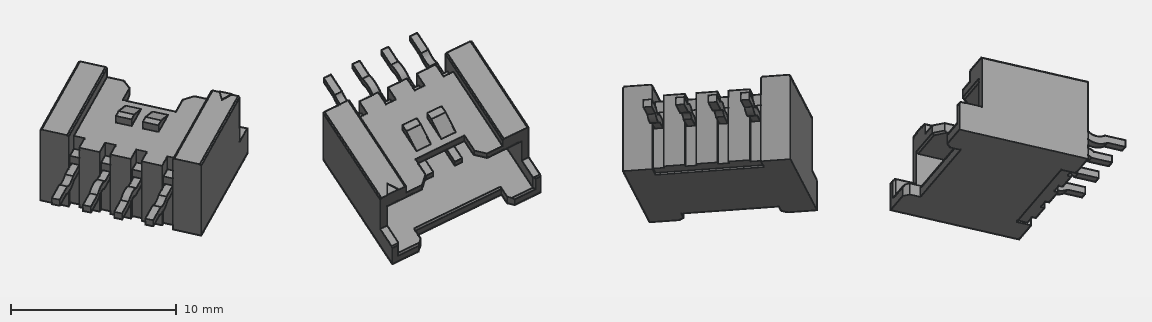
import cadquery as cq


pin_count = 4
pin_pitch = 2.0
pin_width = 0.51
pin_height = 0.47
pin_axis_z = 2.95
pin_tail = 3.32
pin_contact_end = 5.72
kink_y = -1.42
kink_outer_length = 1.42
kink_outer_rise = 0.21
kink_inner_length = 1.06
kink_inner_rise = 0.18
pin_xs = [pin_pitch * (i - (pin_count - 1) / 2) for i in range(pin_count)]

width = 10.3
overall_length = 11.8
length = overall_length - pin_tail
deck_top = 4.74
upper_length = 7.0
low_wall_top = 1.97
edge_chamfer = 0.1
lead_in = 0.12

slot_width = 0.68
slot_lower_depth = 0.25
slot_upper_depth = 0.97
slot_step_z = 3.74

overall_height = 5.55
rail_top = 5.5
rail_inner_x = pin_xs[-1] + slot_width / 2
rail_width = width / 2 - rail_inner_x

side_wall = 0.48
deck_thickness = 0.65
base_thickness = 1.5
underside_recess = 0.13
floor_top = underside_recess + deck_thickness
cavity_width = width - 2 * side_wall
ceiling_z = deck_top - deck_thickness

deck_notch_half_width = 1.7
deck_notch_end = 5.22
deck_notch_corner = 0.55
floor_notch_half_width = 3.0
floor_notch_end = 7.46
floor_notch_corner = 0.33

ramp_width = 1.0
ramp_gap = 0.72
ramp_front = 3.01
ramp_flat_end = 3.5
ramp_end = 4.75
ramp_height = 0.52

mark_x = 4.26
mark_width = 0.8
mark_length = 0.7
mark_height = overall_height - rail_top


def block(x_min, x_max, y_min, y_max, z_min, z_max):
    size = (x_max - x_min, y_max - y_min, z_max - z_min)
    return cq.Workplane("XY").box(*size, centered=False).translate((x_min, y_min, z_min))


def centered_block(block_width, y_min, y_max, z_min, z_max):
    return block(-block_width / 2, block_width / 2, y_min, y_max, z_min, z_max)


def rail(side):
    middle_x = side * (rail_inner_x + rail_width / 2)
    bar = centered_block(rail_width, 0, upper_length, 0, rail_top)
    return bar.edges("|Y and >Z").chamfer(edge_chamfer).translate((middle_x, 0, 0))


def notch(half_width, y_end, y_mouth, corner, z_min, z_max):
    """Straight-sided notch open towards +Y, widened by 45 degree corners at its mouth."""
    outline = [
        (-half_width, y_end),
        (half_width, y_end),
        (half_width, y_mouth - corner),
        (half_width + corner, y_mouth),
        (-half_width - corner, y_mouth),
        (-half_width, y_mouth - corner),
    ]
    return cq.Workplane("XY").workplane(offset=z_min).polyline(outline).close().extrude(z_max - z_min)


def edges_between(low, high):
    """Selector for edges whose centres lie inside the box from low to high."""
    return cq.selectors.BoxSelector(low, high)


def hollow_housing():
    body = centered_block(width, 0, upper_length, 0, deck_top)
    low_walls = centered_block(width, 0, length, 0, low_wall_top)
    low_walls = low_walls.edges(">Y and >Z").chamfer(edge_chamfer)
    body = body.union(low_walls).union(rail(-1)).union(rail(1))

    body = body.cut(centered_block(cavity_width, base_thickness, length, floor_top, ceiling_z))
    body = body.cut(notch(deck_notch_half_width, deck_notch_end, upper_length, deck_notch_corner,
                          ceiling_z, deck_top))
    body = body.cut(notch(floor_notch_half_width, floor_notch_end, length, floor_notch_corner,
                          0, floor_top))
    return chamfer_mouth(body)


def chamfer_mouth(body):
    """Lead-in chamfers on the floor, side wall and ceiling edges that face the mating side."""
    margin = 0.01
    cavity_half = cavity_width / 2
    end_edges = edges_between(
        (-cavity_half - margin, length - margin, floor_top - margin),
        (cavity_half + margin, length + margin, low_wall_top),
    )
    floor_edge = edges_between(
        (-margin, floor_notch_end - margin, floor_top - margin),
        (margin, floor_notch_end + margin, floor_top + margin),
    )
    ceiling_edges = edges_between(
        (-cavity_half + margin, upper_length - deck_notch_corner + margin, ceiling_z - margin),
        (cavity_half - margin, upper_length + margin, ceiling_z + margin),
    )
    for selector in (end_edges, floor_edge, ceiling_edges):
        body = body.edges(selector).chamfer(lead_in)
    return body


def pin_slot(x):
    lower = centered_block(slot_width, 0, slot_lower_depth, 0, deck_top)
    upper = centered_block(slot_width, 0, slot_upper_depth, slot_step_z, deck_top)
    return lower.union(upper).translate((x, 0, 0))


def pin(x, kink_side):
    """Pin of rectangular section whose tail is kinked upwards (kink_side 1) or downwards (-1)."""
    outer_z = kink_side * pin_height / 2
    inner_z = -outer_z
    outer_half = kink_outer_length / 2
    inner_half = kink_inner_length / 2
    profile = (
        cq.Workplane("YZ")
        .moveTo(-pin_tail, inner_z)
        .lineTo(kink_y - inner_half, inner_z)
        .threePointArc((kink_y, inner_z + kink_side * kink_inner_rise), (kink_y + inner_half, inner_z))
        .lineTo(pin_contact_end, inner_z)
        .lineTo(pin_contact_end, outer_z)
        .lineTo(kink_y + outer_half, outer_z)
        .threePointArc((kink_y, outer_z + kink_side * kink_outer_rise), (kink_y - outer_half, outer_z))
        .lineTo(-pin_tail, outer_z)
        .close()
    )
    return profile.extrude(pin_width / 2, both=True).translate((x, 0, pin_axis_z))


def ramp(side):
    profile = [
        (ramp_front, deck_top),
        (ramp_front, deck_top + ramp_height),
        (ramp_flat_end, deck_top + ramp_height),
        (ramp_end, deck_top),
    ]
    wedge = cq.Workplane("YZ").polyline(profile).close().extrude(ramp_width / 2, both=True)
    return wedge.translate((side * (ramp_gap + ramp_width) / 2, 0, 0))


def pin_1_mark():
    triangle = [
        (mark_x - mark_width / 2, upper_length),
        (mark_x + mark_width / 2, upper_length),
        (mark_x, upper_length - mark_length),
    ]
    return cq.Workplane("XY").workplane(offset=rail_top).polyline(triangle).close().extrude(mark_height)


result = hollow_housing()

result = result.cut(centered_block(2 * rail_inner_x, 0, slot_upper_depth, 0, underside_recess))

for pin_x in pin_xs:
    result = result.cut(pin_slot(pin_x))

for pin_x in pin_xs:
    is_outermost = pin_x in (pin_xs[0], pin_xs[-1])
    result = result.union(pin(pin_x, -1 if is_outermost else 1))

for ramp_side in (-1, 1):
    result = result.union(ramp(ramp_side))

result = result.union(pin_1_mark())